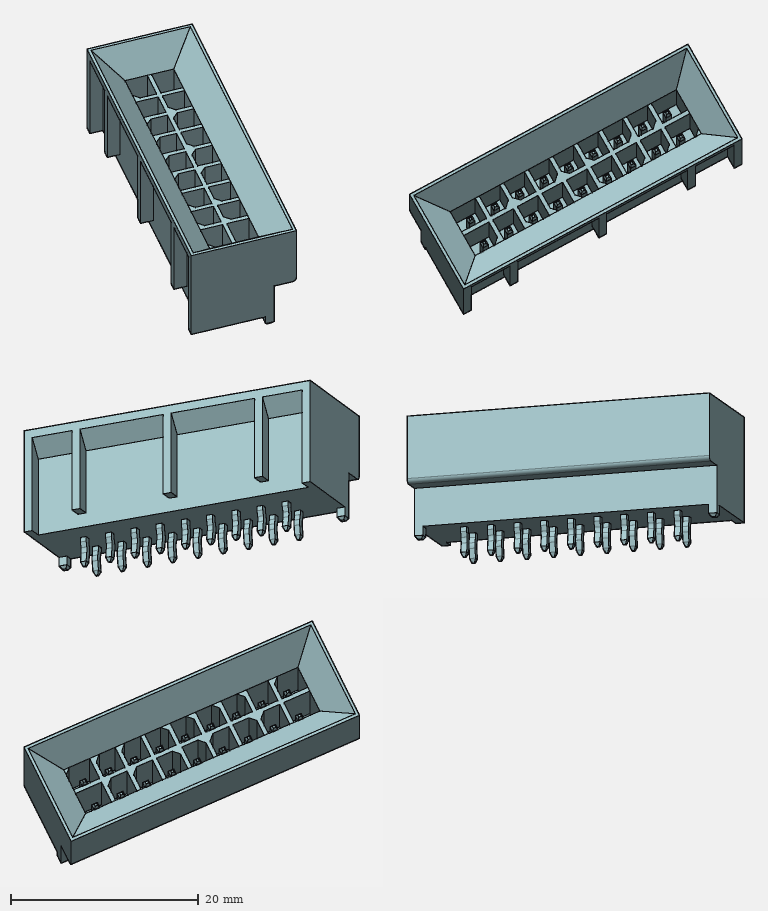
import cadquery as cq


length = 34.0
width = 11.9
total_height = 14.85
body_height = 11.6
step_depth = 2.5
step_height = 4.2
step_radius = 0.5

rim = 0.35
funnel_depth = 2.8
funnel_run = 2.85
floor_z = body_height - funnel_depth

frame = 0.95
recess_depth = 1.45
recess_slope_drop = 1.97
rib_spacing = 10.85
rib_bottom = 1.55

pin_count = 9
row_length = 24.0
pitch = row_length / (pin_count - 1)
row_y = pitch / 2
pin_side = 0.68
pin_top = 6.45
tip_height = 0.48
tip_side = 0.27

tail_length = total_height - body_height
tail_shoulder = tail_length - tip_height
bend_start = 0.5
arc_start = 1.12
arc_end = 1.75
bend_offset = 0.17
bend_peak = 0.2

cavity_length = 2.5
row_divider = 0.48
cavity_floor = 2.05
key_chamfer = 0.65

peg_width = 1.0
peg_straight = 1.0
peg_tip_height = 0.35
peg_tip_inset = 0.25

half_length = length / 2
half_width = width / 2
step_y = half_width - step_depth
funnel_inset = rim + funnel_run
floor_half_length = half_length - funnel_inset
floor_half_width = half_width - funnel_inset

back_row_keys = "-RLRLLRR-"
front_row_keys = "R-LLLLRRR"


def box(x0, x1, y0, y1, z0, z1):
    """Block between the given limits."""
    return cq.Workplane("XY").box(x1 - x0, y1 - y0, z1 - z0, centered=False).translate((x0, y0, z0))


def make_body():
    """Stepped block, extruded along X."""
    return (
        cq.Workplane("YZ", origin=(-half_length, 0, 0))
        .moveTo(-half_width, 0)
        .lineTo(step_y, 0)
        .lineTo(step_y, step_height)
        .lineTo(half_width - step_radius, step_height)
        .radiusArc((half_width, step_height + step_radius), -step_radius)
        .lineTo(half_width, body_height)
        .lineTo(-half_width, body_height)
        .close()
        .extrude(length)
    )


def make_funnel():
    """Opening that narrows from the rim down to the cavity floor."""
    return (
        cq.Workplane("XY", origin=(0, 0, body_height))
        .rect(length - 2 * rim, width - 2 * rim)
        .workplane(offset=-funnel_depth)
        .rect(length - 2 * funnel_inset, width - 2 * funnel_inset)
        .loft(ruled=True)
    )


def make_front_recess():
    """Front pocket with a sloped upper face, divided by three ribs."""
    recess_top = body_height - frame
    recess_back = recess_depth - half_width
    pocket = (
        cq.Workplane("YZ", origin=(frame - half_length, 0, 0))
        .moveTo(-half_width, 0)
        .lineTo(recess_back, 0)
        .lineTo(recess_back, recess_top - recess_slope_drop)
        .lineTo(-half_width, recess_top)
        .close()
        .extrude(length - 2 * frame)
    )
    for rib_x in (-rib_spacing, 0, rib_spacing):
        rib = box(rib_x - frame / 2, rib_x + frame / 2, -half_width, recess_back, rib_bottom, body_height)
        pocket = pocket.cut(rib)
    return pocket


def make_cavity(index, front, back, key):
    """Cavity around one pin, from front to back in Y; the end cavities reach out to the funnel wall."""
    pin_x = index * pitch - row_length / 2
    left = -floor_half_length if index == 0 else pin_x - cavity_length / 2
    right = floor_half_length if index == pin_count - 1 else pin_x + cavity_length / 2
    cavity = box(left, right, front, back, cavity_floor, floor_z)
    if key == "L":
        cavity = cavity.edges("|Z and <X and <Y").chamfer(key_chamfer)
    elif key == "R":
        cavity = cavity.edges("|Z and >X and <Y").chamfer(key_chamfer)
    return cavity


def tapered_tip(z_base, z_end, base_size, end_size):
    """Four-sided taper between two centred rectangles."""
    return (
        cq.Workplane("XY", origin=(0, 0, z_base))
        .rect(*base_size)
        .workplane(offset=z_end - z_base)
        .rect(*end_size)
        .loft(ruled=True)
    )


def make_pin():
    """Pin of the -Y row, centred on the Z axis, with its tail bent toward +Y."""
    half = pin_side / 2
    arc_middle = (arc_start + arc_end) / 2
    tail = (
        cq.Workplane("YZ", origin=(-half, 0, 0))
        .moveTo(-half, 0)
        .lineTo(-half, -bend_start)
        .lineTo(bend_offset - half, -arc_start)
        .threePointArc((bend_peak - half, -arc_middle), (bend_offset - half, -arc_end))
        .lineTo(-half, -tail_shoulder)
        .lineTo(half, -tail_shoulder)
        .lineTo(bend_offset + half, -arc_end)
        .threePointArc((bend_peak + half, -arc_middle), (bend_offset + half, -arc_start))
        .lineTo(half, -bend_start)
        .lineTo(half, 0)
        .close()
        .extrude(pin_side)
    )
    shank = box(-half, half, -half, half, 0, pin_top - tip_height)
    pin_section = (pin_side, pin_side)
    tip_section = (tip_side, tip_side)
    upper_tip = tapered_tip(pin_top - tip_height, pin_top, pin_section, tip_section)
    lower_tip = tapered_tip(-tail_shoulder, -tail_length, pin_section, tip_section)
    return tail.union(shank).union(upper_tip).union(lower_tip)


def make_peg():
    """Locating peg with a tapered end, centred on the Z axis."""
    straight = box(-frame / 2, frame / 2, -peg_width / 2, peg_width / 2, -peg_straight, 0)
    end_size = (frame - 2 * peg_tip_inset, peg_width - 2 * peg_tip_inset)
    tip = tapered_tip(-peg_straight, -peg_straight - peg_tip_height, (frame, peg_width), end_size)
    return straight.union(tip)


result = make_body().cut(make_funnel()).cut(make_front_recess())

divider_edge = row_divider / 2
for index in range(pin_count):
    back_cavity = make_cavity(index, divider_edge, floor_half_width, back_row_keys[index])
    front_cavity = make_cavity(index, -floor_half_width, -divider_edge, front_row_keys[index])
    result = result.cut(back_cavity).cut(front_cavity)

front_pin = make_pin()
back_pin = front_pin.mirror("XZ")
for index in range(pin_count):
    pin_x = index * pitch - row_length / 2
    result = result.union(front_pin.translate((pin_x, -row_y, 0)))
    result = result.union(back_pin.translate((pin_x, row_y, 0)))

peg = make_peg()
peg_x = half_length - frame / 2
for x in (-peg_x, peg_x):
    result = result.union(peg.translate((x, step_y - peg_width / 2, 0)))